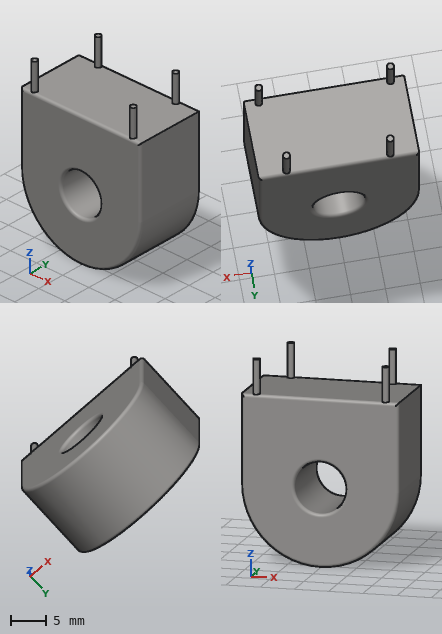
import cadquery as cq

width = 23.0
depth = 12.5
total_height = 29.5
pin_length = 5.02

edge_radius = 0.5
bore_radius = 3.75

pin_radius = 0.5
pin_row_offset = 5.52
front_pin_half_spacing = 9.45
back_pin_half_spacing = 7.43

end_radius = width / 2
housing_top = total_height - pin_length - end_radius


def make_housing():
    """Round-ended block with a through bore, rounded along its front and back face edges."""
    block = (
        cq.Workplane("XZ")
        .moveTo(-end_radius, housing_top)
        .lineTo(-end_radius, 0)
        .threePointArc((0, -end_radius), (end_radius, 0))
        .lineTo(end_radius, housing_top)
        .close()
        .extrude(depth / 2, both=True)
    )
    bore = cq.Workplane("XZ").circle(bore_radius).extrude(depth, both=True)
    return block.cut(bore).faces("<Y or >Y").edges().fillet(edge_radius)


def make_pins():
    """Four vertical pins, started inside the housing so that they meet its rounded edges."""
    centres = []
    for side in (-1, 1):
        centres.append((side * front_pin_half_spacing, -pin_row_offset))
        centres.append((side * back_pin_half_spacing, pin_row_offset))
    pin_root = housing_top - edge_radius
    return (
        cq.Workplane("XY", origin=(0, 0, pin_root))
        .pushPoints(centres)
        .circle(pin_radius)
        .extrude(pin_length + edge_radius)
    )


result = make_housing().union(make_pins())